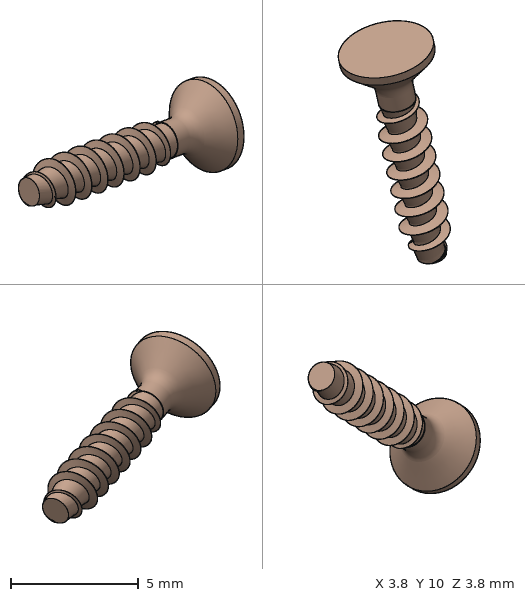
import cadquery as cq
import math

length = 10.0

head_radius = 1.9
rim_height = 0.35
shank_radius = 0.75
head_slope = math.radians(45)
neck_fillet = 0.8
shank_end = 2.51

core_top_radius = 0.61
core_tip_radius = 0.57
runout_radius = 0.72
runout_length = 0.75
overlap = 0.01
turn_gap = 0.01

pitch = 0.89
first_crest_depth = 2.44
turns = 8.5
crest_radius = 1.02
start_crest_radius = 0.8
end_crest_radius = 0.59
grow_turns = 1.25
shrink_turns = 1.5
crest_flat = 0.02
head_flank_width = 0.14
tip_flank_width = 0.1
ramp_rise = 0.12
ramp_share = 0.42
points_per_turn = 16
ridge_corners = 5


def screw_blank():
    """Head, filleted neck, shank and smooth core, revolved about Y."""
    cone_end_radius = shank_radius + neck_fillet * (1 - math.cos(head_slope))
    cone_end = rim_height + (head_radius - cone_end_radius) / math.tan(head_slope)
    neck_end = cone_end + neck_fillet * math.sin(head_slope)
    half_slope = head_slope / 2
    neck_middle = (
        shank_radius + neck_fillet * (1 - math.cos(half_slope)),
        -(neck_end - neck_fillet * math.sin(half_slope)),
    )
    return (
        cq.Workplane("XY")
        .lineTo(head_radius, 0)
        .lineTo(head_radius, -rim_height)
        .lineTo(cone_end_radius, -cone_end)
        .threePointArc(neck_middle, (shank_radius, -neck_end))
        .lineTo(shank_radius, -shank_end)
        .lineTo(runout_radius, -shank_end)
        .lineTo(core_top_radius, -shank_end - runout_length)
        .lineTo(core_tip_radius, -length)
        .lineTo(0, -length)
        .close()
        .revolve(360, (0, 0, 0), (0, 1, 0))
    )


def core_radius_at(depth):
    """Core radius, tapering evenly from the runout to the tip."""
    core_start = shank_end + runout_length
    taper = (core_top_radius - core_tip_radius) / (length - core_start)
    return core_top_radius - taper * (depth - core_start)


def crest_radius_at(turn):
    """Crest radius: grows over the first turns and fades out over the last ones."""
    grown = start_crest_radius + (crest_radius - start_crest_radius) * turn / grow_turns
    faded = end_crest_radius + (crest_radius - end_crest_radius) * (turns - turn) / shrink_turns
    return min(grown, crest_radius, faded)


def ridge_section(turn):
    """Ridge corners as (radius, depth), from the head side to the tip side."""
    crest_depth = first_crest_depth + pitch * turn
    crest = crest_radius_at(turn)
    core = core_radius_at(crest_depth)
    height = crest - core
    scale = height / (crest_radius - core)
    ramp_top = core + min(ramp_rise, ramp_share * height)
    root_start = crest_depth - head_flank_width * scale
    root_end = crest_depth + pitch - head_flank_width - turn_gap
    return [
        (core_radius_at(root_start) - overlap, root_start),
        (crest, crest_depth - crest_flat / 2 * scale),
        (crest, crest_depth + crest_flat / 2 * scale),
        (ramp_top, crest_depth + tip_flank_width * scale),
        (core_radius_at(root_end) - overlap, root_end),
    ]


def ridge_point(turn, corner):
    """Point of one ridge corner, turning from +Z through -X as it goes toward the tip."""
    radius, depth = ridge_section(turn)[corner]
    angle = 2 * math.pi * turn
    return cq.Vector(-radius * math.sin(angle), -depth, radius * math.cos(angle))


def ridge_flanks(start, end):
    """Faces that wrap the ridge between two turn counts."""
    steps = math.ceil((end - start) * points_per_turn)
    stations = [start + (end - start) * step / steps for step in range(steps + 1)]
    edges = [
        cq.Edge.makeSpline([ridge_point(turn, corner) for turn in stations])
        for corner in range(ridge_corners)
    ]
    return [cq.Face.makeRuledSurface(edges[corner - 1], edges[corner]) for corner in range(ridge_corners)]


def ridge_end(turn):
    """Flat face that closes the ridge."""
    outline = [ridge_point(turn, corner) for corner in range(ridge_corners)]
    return cq.Face.makeFromWires(cq.Wire.makePolygon(outline, close=True))


def thread_ridge():
    """Closed helical ridge, cut off square at the shank shoulder and at the tip."""
    faces = [ridge_end(0), ridge_end(turns)]
    stage_ends = [0, grow_turns, turns - shrink_turns, turns]
    for start, end in zip(stage_ends, stage_ends[1:]):
        faces += ridge_flanks(start, end)
    ridge = cq.Solid.makeSolid(cq.Shell.makeShell(faces)).fix()
    threaded_length = (
        cq.Workplane("XZ", origin=(0, -shank_end, 0))
        .circle(head_radius)
        .extrude(length - shank_end)
    )
    return threaded_length.intersect(cq.Workplane(ridge))


result = screw_blank().union(thread_ridge())